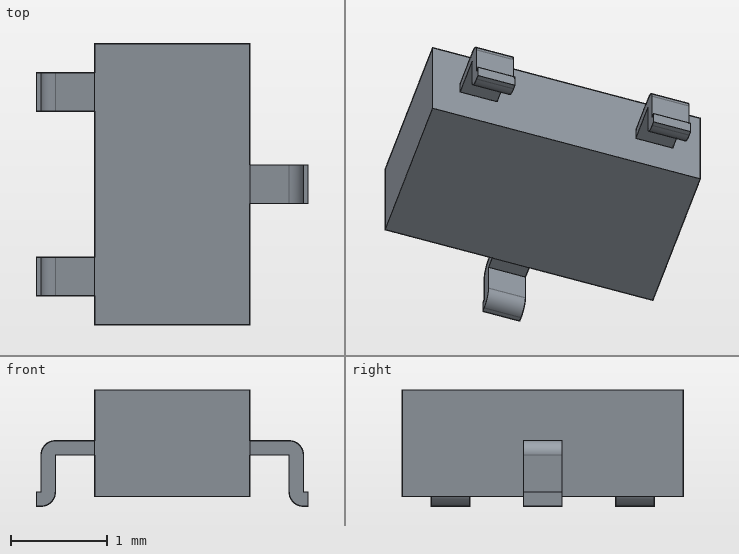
import cadquery as cq

BODY_WIDTH = 1.6
BODY_LENGTH = 2.9
BODY_HEIGHT = 1.1
STANDOFF = 0.102

LEAD_SPAN = 2.8
LEAD_WIDTH = 0.4
LEAD_THICKNESS = 0.15
LEAD_TOP = 0.68
TOE_LENGTH = 0.045
BEND_RADIUS = 0.15
LEAD_PITCH = 1.902


def make_body():
    return cq.Workplane("XY").workplane(offset=STANDOFF).box(
        BODY_WIDTH, BODY_LENGTH, BODY_HEIGHT, centered=(True, True, False)
    )


def make_lead(side, y_center):
    """Gull-wing lead on the -X (side=-1) or +X (side=1) face of the body."""
    root = BODY_WIDTH / 2
    toe = LEAD_SPAN / 2
    leg_outer = toe - TOE_LENGTH
    leg_inner = leg_outer - LEAD_THICKNESS
    shoulder_bottom = LEAD_TOP - LEAD_THICKNESS
    bend_diagonal = BEND_RADIUS * 0.5 ** 0.5

    shoulder_center = (leg_outer - BEND_RADIUS, LEAD_TOP - BEND_RADIUS)
    foot_center = (leg_inner + BEND_RADIUS, BEND_RADIUS)

    profile = (
        cq.Workplane("XZ", origin=(0, y_center + LEAD_WIDTH / 2, 0))
        .moveTo(side * root, LEAD_TOP)
        .lineTo(side * shoulder_center[0], LEAD_TOP)
        .threePointArc(
            (side * (shoulder_center[0] + bend_diagonal), shoulder_center[1] + bend_diagonal),
            (side * leg_outer, shoulder_center[1]),
        )
        .lineTo(side * leg_outer, LEAD_THICKNESS)
        .lineTo(side * toe, LEAD_THICKNESS)
        .lineTo(side * toe, 0)
        .lineTo(side * foot_center[0], 0)
        .threePointArc(
            (side * (foot_center[0] - bend_diagonal), foot_center[1] - bend_diagonal),
            (side * leg_inner, foot_center[1]),
        )
        .lineTo(side * leg_inner, shoulder_bottom)
        .lineTo(side * root, shoulder_bottom)
        .close()
    )
    return profile.extrude(LEAD_WIDTH)


body = make_body()

lead_places = [(-1, -LEAD_PITCH / 2), (-1, LEAD_PITCH / 2), (1, 0)]
leads = [make_lead(side, y_center).val() for side, y_center in lead_places]

result = cq.Compound.makeCompound([body.val(), *leads])